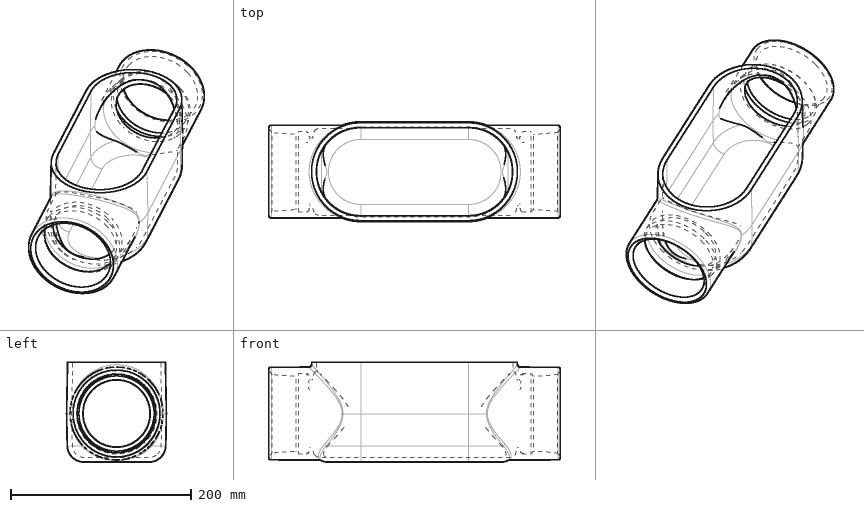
import cadquery as cq
import math

length = 323.7
width = 111.0
top_z = 57.0
bottom_z = top_z - 111.0
straight_length = 119.8
draft_angle = 1.1
wall = 5.5
base_round = 18.8
floor_z = bottom_z + wall

hub_radius = 103.3 / 2
hub_end_round = 3.0
junction_round = 3.0

face_radius = 48.2
mouth_radius = 43.7
mouth_depth = 3.2
socket_end_radius = 41.8
socket_depth = 30.0
relief_radius = 89.3 / 2
relief_start_depth = socket_depth + relief_radius - socket_end_radius
relief_end_depth = 40.8
throat_radius = 37.2
throat_depth = 46.5
floor_clearance = 0.05
inner_bore_radius = -floor_z - floor_clearance
lip_end_depth = 58.3


def oblong(mid_width, upper_z, lower_z):
    """Oblong block, widest at Z = 0 and drafted inward above and below it."""

    def half(height):
        outline = cq.Workplane("XY").slot2D(straight_length + mid_width, mid_width)
        return outline.extrude(height, taper=draft_angle)

    upper = half(upper_z)
    lower = half(-lower_z).mirror("XY")
    return upper.union(lower)


def outer_shell():
    """Body and hubs before hollowing, with rounded base and hub junctions."""
    body = oblong(width, top_z, bottom_z).faces("<Z").edges().fillet(base_round)
    hubs = cq.Workplane("YZ").circle(hub_radius).extrude(length / 2, both=True)
    hubs = hubs.faces("<X or >X").edges().fillet(hub_end_round)
    shell = body.union(hubs)

    body_half_length = (straight_length + width) / 2
    tolerance = 0.03
    junction_edges = []
    for edge in shell.edges().vals():
        points = [edge.positionAt(t) for t in (0.0, 0.3, 0.5, 1.0)]
        follows_hub = all(abs(math.hypot(p.y, p.z) - hub_radius) < tolerance for p in points)
        near_body = all(abs(p.x) < body_half_length for p in points)
        if follows_hub and near_body and edge.geomType() != "LINE":
            junction_edges.append(edge)
    return shell.newObject(junction_edges).fillet(junction_round)


def cavity():
    """Open-topped chamber with a rounded floor."""
    chamber = oblong(width - 2 * wall, top_z, floor_z)
    return chamber.faces("<Z").edges().fillet(base_round - wall)


def hub_bore():
    """Bore of the +X hub: chamfered mouth, tapered socket, relief groove and rounded lip."""
    end = length / 2
    inward = (-1, 0)
    return (
        cq.Workplane("XY")
        .moveTo(end, 0)
        .lineTo(end, face_radius)
        .lineTo(end - mouth_depth, mouth_radius)
        .lineTo(end - socket_depth, socket_end_radius)
        .lineTo(end - relief_start_depth, relief_radius)
        .lineTo(end - relief_end_depth, relief_radius)
        .spline(
            [(end - throat_depth, throat_radius), (end - lip_end_depth, inner_bore_radius)],
            tangents=[inward, inward, inward],
            includeCurrent=True,
        )
        .lineTo(straight_length / 2, inner_bore_radius)
        .lineTo(straight_length / 2, 0)
        .close()
        .revolve(360, (0, 0, 0), (1, 0, 0))
    )


bore = hub_bore()
result = outer_shell().cut(cavity()).cut(bore).cut(bore.mirror("YZ"))